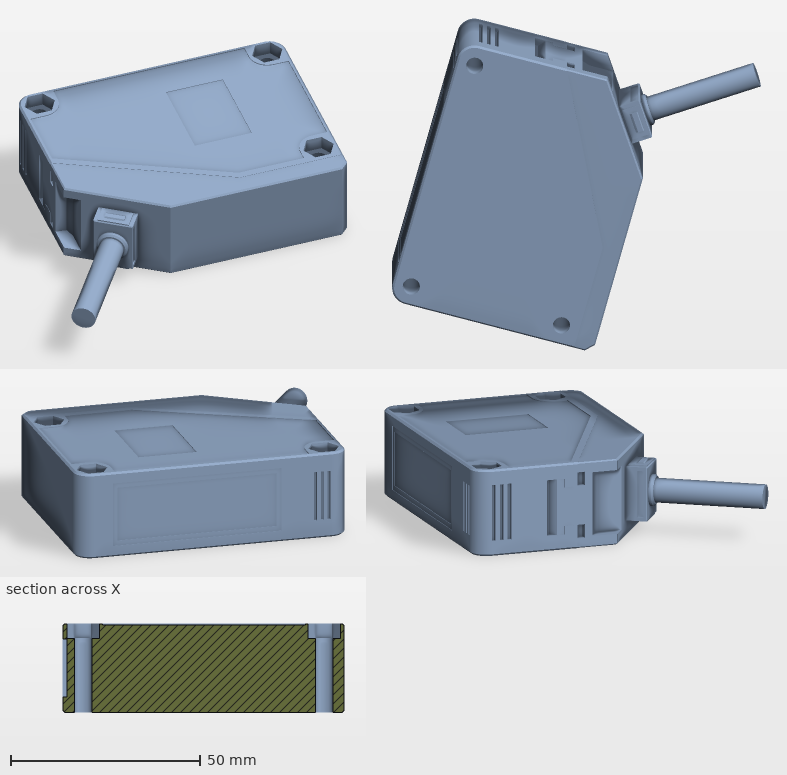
import cadquery as cq
import math


overall_length = 85.2
body_width = 56.05
body_length = 74.45
body_height = 23.5
top_z = body_height / 2
corner_radius = 4.5
back_corner_chamfer = 2.2
edge_chamfer = 0.5
slant_start_x = 39.8
slant_end_y = 24.3
slant_angle = math.atan2(slant_end_y, body_width - slant_start_x)

seam_x = 50.85
seam_bend_y = 45.5
seam_foot_x = 28.6
cover_step = 0.1

hole_diameter = 4.5
nut_flats = 7.3
nut_depth = 3.8
nut_turn = 30
hole_left_x = 4.85
hole_right_x = 46.0
hole_front_y = 5.45
hole_back_y = 69.2
hole_centres = [
    (hole_left_x, hole_front_y),
    (hole_left_x, hole_back_y),
    (hole_right_x, hole_back_y),
]

pad_radius = 5.1
panel_margin = 1.1
panel_right_x = 48.9
panel_bend_y = 45.7
panel_foot_x = 27.1
panel_depth = 0.25
label_x, label_y = 11.2, 38.6
label_width, label_length = 23.2, 15.9
label_depth = 0.2

window_y = 18.4
window_length = 46.4
window_height = 17.5
frame_width = 1.4
window_step = 0.2

groove_count = 3
front_groove_x, front_groove_pitch = 5.0, 2.2
front_groove_width, front_groove_height, front_groove_depth = 1.0, 15.25, 1.0
side_groove_y, side_groove_pitch = 5.4, 1.9
side_groove_width, side_groove_height, side_groove_depth = 0.8, 13.5, 0.7

latch_x = 19.9
latch_floor_width = 1.4
latch_ramp_width = 1.6
latch_height = 15.25
latch_depth = 1.9
tongue_head_end_x = 24.9
tongue_neck_height = 10.6
slot_width = 2.1
slot_height = 3.75
slot_depth = 2.1

notch_x = 32.9
notch_shoulder_x, notch_shoulder_depth = 33.3, 3.1
notch_floor_x, notch_depth = 35.95, 3.9
notch_height = 17.4

gland_along_face = 14.9
gland_length = 5.7
gland_width = 10.8
gland_height = 14.65
gland_end_chamfer = 0.25
gland_root = 1.7
plate_start, plate_end = 0.4, 5.45
plate_width = 8.5
plate_rise = 0.3
catch_start, catch_end = 2.05, 4.3
catch_width = 5.45
catch_rise = 0.7
catch_ramp = 0.6
catch_back = 0.25
side_pocket_start, side_pocket_end = 3.15, 5.3
side_pocket_height = 12.6
side_pocket_depth = 0.3
collar_diameter = 8.5
collar_end = 7.0
collar_chamfer = 0.5
cable_diameter = 6.6
gland_x = slant_start_x + gland_along_face * math.cos(slant_angle)
gland_y = gland_along_face * math.sin(slant_angle)
cable_tip_y = body_length - overall_length + cable_diameter / 2 * math.sin(slant_angle)
cable_end = (gland_y - cable_tip_y) / math.cos(slant_angle)


def block(x, y, z, x_size, y_size, z_size):
    """Box with its lowest X and Y corner at (x, y), centred on z."""
    box = cq.Workplane("XY").box(x_size, y_size, z_size, centered=(False, False, True))
    return box.translate((x, y, z))


def prism(points, height):
    """Outline in the XY plane extruded evenly either side of Z = 0."""
    return cq.Workplane("XY").polyline(points).close().extrude(height / 2, both=True)


def make_body():
    outline = [
        (0, 0),
        (slant_start_x, 0),
        (body_width, slant_end_y),
        (body_width, body_length - back_corner_chamfer),
        (body_width - back_corner_chamfer, body_length),
        (0, body_length),
    ]
    rounded = cq.selectors.BoxSelector((-0.85, -0.85, -top_z), (0.85, body_length + 0.85, top_z))
    body = prism(outline, body_height).edges("|Z").edges(rounded).fillet(corner_radius)
    return body.faces("<Z or >Z").edges().chamfer(edge_chamfer)


def make_cover_step():
    outline = [
        (seam_foot_x, 0),
        (body_width, 0),
        (body_width, body_length),
        (seam_x, body_length),
        (seam_x, seam_bend_y),
    ]
    layer = prism(outline, 2 * cover_step)
    front = block(seam_foot_x, 0, 0, slant_start_x - seam_foot_x, cover_step, body_height)
    return front.union(layer.translate((0, 0, top_z))).union(layer.translate((0, 0, -top_z)))


def make_top_recess():
    panel_back_y = body_length - panel_margin
    outline = [
        (panel_margin, panel_margin),
        (panel_foot_x, panel_margin),
        (panel_right_x, panel_bend_y),
        (panel_right_x, panel_back_y),
        (panel_margin, panel_back_y),
    ]
    panel = prism(outline, 2 * panel_depth)
    pad_width = 2 * pad_radius
    for x, y in hole_centres:
        outward_x = -1 if x == hole_left_x else 1
        outward_y = -1 if y == hole_front_y else 1
        pad = cq.Workplane("XY").circle(pad_radius).extrude(panel_depth, both=True)
        arm_x = cq.Workplane("XY").center(outward_x * pad_radius, 0).rect(pad_width, pad_width)
        arm_y = cq.Workplane("XY").center(0, outward_y * pad_radius).rect(pad_width, pad_width)
        pad = pad.union(arm_x.extrude(panel_depth, both=True)).union(arm_y.extrude(panel_depth, both=True))
        panel = panel.cut(pad.translate((x, y, 0)))
    label_cut = 2 * (panel_depth + label_depth)
    label = block(label_x, label_y, 0, label_width, label_length, label_cut)
    return panel.union(label).translate((0, 0, top_z))


def make_screw_holes():
    holes = cq.Workplane("XY").pushPoints(hole_centres).circle(hole_diameter / 2).extrude(top_z, both=True)
    nut_corners = nut_flats / math.cos(math.pi / 6)
    nut = cq.Workplane("XY").polygon(6, nut_corners).extrude(nut_depth)
    nut = nut.rotate((0, 0, 0), (0, 0, 1), nut_turn)
    for x, y in hole_centres:
        holes = holes.union(nut.translate((x, y, top_z - nut_depth)))
    return holes


def make_window():
    frame = block(0, window_y, 0, window_step, window_length, window_height)
    pane = block(
        0, window_y + frame_width, 0,
        2 * window_step, window_length - 2 * frame_width, window_height - 2 * frame_width,
    )
    return frame.union(pane)


def make_grooves():
    grooves = cq.Workplane("XY")
    for i in range(groove_count):
        x = front_groove_x + i * front_groove_pitch - front_groove_width / 2
        y = side_groove_y + i * side_groove_pitch - side_groove_width / 2
        grooves = grooves.add(block(x, 0, 0, front_groove_width, front_groove_depth, front_groove_height))
        grooves = grooves.add(block(0, y, 0, side_groove_depth, side_groove_width, side_groove_height))
    return grooves.combine()


def make_latch():
    ramp_x = latch_x + latch_floor_width
    ramp_end_x = ramp_x + latch_ramp_width
    groove_outline = [(latch_x, 0), (ramp_end_x, 0), (ramp_x, latch_depth), (latch_x, latch_depth)]
    groove = prism(groove_outline, latch_height)
    head = block(latch_x, 0, 0, tongue_head_end_x - latch_x, cover_step, latch_height)
    neck = block(latch_x, 0, 0, seam_foot_x - latch_x, cover_step, tongue_neck_height)
    latch = groove.union(head).union(neck)
    for side in (-1, 1):
        slot_z = side * (tongue_neck_height + slot_height) / 2
        latch = latch.union(block(seam_foot_x, 0, slot_z, slot_width, slot_depth, slot_height))
    return latch


def make_notch():
    outline = [
        (notch_x, 0),
        (notch_shoulder_x, notch_shoulder_depth),
        (notch_floor_x, notch_depth),
        (body_width, notch_depth),
        (body_width, 0),
    ]
    return prism(outline, notch_height)


def make_gland_and_cable():
    """Gland and cable along +X with the slanted face at X = 0."""
    gland = block(0, -gland_width / 2, 0, gland_length, gland_width, gland_height)
    gland = gland.faces(">X").edges().chamfer(gland_end_chamfer)
    plate_height = gland_height + 2 * plate_rise
    plate_length = plate_end - plate_start
    gland = gland.union(block(plate_start, -plate_width / 2, 0, plate_length, plate_width, plate_height))

    catch_top = gland_height / 2 + catch_rise
    catch_foot = gland_height / 2 + plate_rise
    catch = [
        (catch_start, -catch_foot),
        (catch_start + catch_ramp, -catch_top),
        (catch_end - catch_back, -catch_top),
        (catch_end, -catch_foot),
        (catch_end, catch_foot),
        (catch_end - catch_back, catch_top),
        (catch_start + catch_ramp, catch_top),
        (catch_start, catch_foot),
    ]
    gland = gland.union(cq.Workplane("XZ").polyline(catch).close().extrude(catch_width / 2, both=True))

    pocket_length = side_pocket_end - side_pocket_start
    for y in (-gland_width / 2, gland_width / 2 - side_pocket_depth):
        gland = gland.cut(
            block(side_pocket_start, y, 0, pocket_length, side_pocket_depth, side_pocket_height)
        )

    root = block(-gland_root, -gland_width / 2, 0, gland_root, gland_width, gland_height)
    collar = cq.Workplane("YZ").circle(collar_diameter / 2).extrude(collar_end)
    collar = collar.faces(">X").chamfer(collar_chamfer)
    cable = cq.Workplane("YZ").circle(cable_diameter / 2).extrude(cable_end)
    return gland.union(root).union(collar).union(cable)


def place_on_slant(shape):
    turn = math.degrees(slant_angle) - 90
    return shape.rotate((0, 0, 0), (0, 0, 1), turn).translate((gland_x, gland_y, 0))


result = make_body()
cutters = [
    make_cover_step(),
    make_top_recess(),
    make_screw_holes(),
    make_window(),
    make_grooves(),
    make_latch(),
    make_notch(),
]
for cutter in cutters:
    result = result.cut(cutter)
result = result.union(place_on_slant(make_gland_and_cable()))